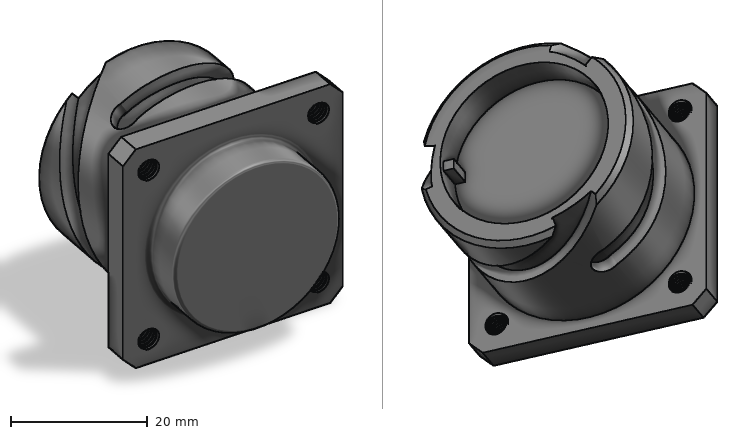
import cadquery as cq
import math

flange_side = 38.0
flange_corner = 2.2
flange_front = 23.05
flange_back = 27.1

body_radius = 17.1
rim_chamfer = 0.85
spigot_radius = 14.35
spigot_end = 33.82
spigot_edge_round = 0.57
spigot_root_round = 0.85

bore_radius = 13.45
bore_depth = 5.35
key_width = 1.65
key_height = 1.67
key_length = 4.18
key_root_overlap = 0.38

hole_offset = 14.65
hole_radius = 1.65
thread_radius = 1.95
thread_pitch = 0.7
thread_overrun = thread_pitch
thread_start_angle = 180.0
thread_root_overlap = 0.08
thread_flank = 0.285

groove_count = 3
groove_floor_radius = 14.95
groove_top_radius = 18.25
groove_floor_tilt = 1.0
groove_width = 12.4
stop_x = 12.12
stop_radius = 2.47
stop_angle = 32.6
level_run = 4.75
rise_rate = 0.01158
groove_run = 44.08
groove_points = 40


def cylinder_along_x(radius, start, end):
    return cq.Workplane("YZ", origin=(start, 0, 0)).circle(radius).extrude(end - start)


def make_flange():
    plate = cq.Workplane("YZ", origin=(flange_front, 0, 0)).rect(flange_side, flange_side)
    return plate.extrude(flange_back - flange_front).edges("|X").chamfer(flange_corner)


def make_spigot():
    """Rear cylinder with a rounded end and a concave round at the flange."""
    diagonal = math.sqrt(0.5)
    root_x = flange_back + spigot_root_round
    root_radius = spigot_radius + spigot_root_round
    root_mid = (root_x - spigot_root_round * diagonal, root_radius - spigot_root_round * diagonal)
    edge_x = spigot_end - spigot_edge_round
    edge_radius = spigot_radius - spigot_edge_round
    edge_mid = (edge_x + spigot_edge_round * diagonal, edge_radius + spigot_edge_round * diagonal)
    profile = (
        cq.Workplane("XY")
        .moveTo(flange_front, 0)
        .lineTo(flange_front, root_radius)
        .lineTo(flange_back, root_radius)
        .threePointArc(root_mid, (root_x, spigot_radius))
        .lineTo(edge_x, spigot_radius)
        .threePointArc(edge_mid, (spigot_end, edge_radius))
        .lineTo(spigot_end, 0)
        .close()
    )
    return profile.revolve(360, (0, 0, 0), (1, 0, 0))


def make_key():
    """Rectangular key on the +Y side of the socket, standing on its floor."""
    key_start = bore_depth - key_length
    key_inner = bore_radius - key_height
    radial_size = key_height + key_root_overlap
    key = cq.Workplane("XY").box(key_length, radial_size, key_width, centered=(False, False, True))
    return key.translate((key_start, key_inner, 0))


def groove_edge(side, radius, tilt=0.0):
    """Spline along one side (-1 or 1) of the groove; the tilt grows from the stop to the mouth."""
    points = []
    for i in range(groove_points + 1):
        run = groove_run * i / groove_points
        climb = max(0.0, run - level_run)
        slope = 2 * rise_rate * climb
        stretch = math.hypot(1, slope)
        x = stop_x - rise_rate * climb**2 + side * groove_width / 2 / stretch
        arc = run + side * groove_width / 2 * slope / stretch
        angle = -arc / body_radius
        reach = radius + side * tilt * i / groove_points
        points.append(cq.Vector(x, -reach * math.sin(angle), reach * math.cos(angle)))
    return cq.Edge.makeSpline(points)


def solid_between(curves):
    """Solid with ruled faces between neighbouring curves and a cap at either end."""
    faces = []
    start_cap = []
    end_cap = []
    for first, second in zip(curves, curves[1:] + curves[:1]):
        faces.append(cq.Face.makeRuledSurface(first, second))
        start_cap.append(cq.Edge.makeLine(first.startPoint(), second.startPoint()))
        end_cap.append(cq.Edge.makeLine(first.endPoint(), second.endPoint()))
    for cap in (start_cap, end_cap):
        faces.append(cq.Face.makeNSidedSurface(cap, []))
    return cq.Solid.makeSolid(cq.Shell.makeShell(faces)).fix()


def make_groove_cutters():
    """Curved channel and its round stop, which is centred at the +Z side."""
    channel = solid_between(
        [
            groove_edge(-0.38, groove_floor_radius, groove_floor_tilt),
            groove_edge(0.38, groove_floor_radius, groove_floor_tilt),
            groove_edge(0.38, groove_top_radius),
            groove_edge(-0.38, groove_top_radius),
        ]
    )
    stop = (
        cq.Workplane("XY", origin=(stop_x, 0, groove_floor_radius))
        .circle(stop_radius)
        .extrude(groove_top_radius - groove_floor_radius)
    )
    return cq.Workplane(channel), stop


def thread_edge(radius, rise):
    """Helix about the Z axis, shifted along it by the given rise."""
    length = flange_back - flange_front + 2 * thread_overrun
    helix = cq.Wire.makeHelix(thread_pitch, length, radius)
    return helix.translate(cq.Vector(0, 0, rise)).Edges()[0]


def make_tap():
    """Hole with a helical V thread along the X axis, running past both flange faces."""
    inner = hole_radius - thread_root_overlap
    thread = solid_between(
        [
            thread_edge(inner, -thread_flank),
            thread_edge(thread_radius, 0),
            thread_edge(inner, thread_flank),
        ]
    )
    core = cq.Workplane("XY", origin=(0, 0, -thread_overrun)).circle(hole_radius)
    tap = core.extrude(flange_back - flange_front + 4 * thread_overrun).union(cq.Workplane(thread))
    tap = tap.rotate((0, 0, 0), (0, 0, 1), thread_start_angle)
    return tap.rotate((0, 0, 0), (0, 1, 0), 90).translate((flange_front - thread_overrun, 0, 0))


body = cylinder_along_x(body_radius, 0, flange_front).faces("<X").chamfer(rim_chamfer)
result = body.union(make_flange()).union(make_spigot())
result = result.cut(cylinder_along_x(bore_radius, 0, bore_depth)).union(make_key())

channel, stop = make_groove_cutters()
for i in range(groove_count):
    turn = stop_angle + 360 / groove_count * i
    for cutter in (channel, stop):
        result = result.cut(cutter.rotate((0, 0, 0), (1, 0, 0), turn))

tap = make_tap()
for y in (-hole_offset, hole_offset):
    for z in (-hole_offset, hole_offset):
        result = result.cut(tap.translate((0, y, z)))